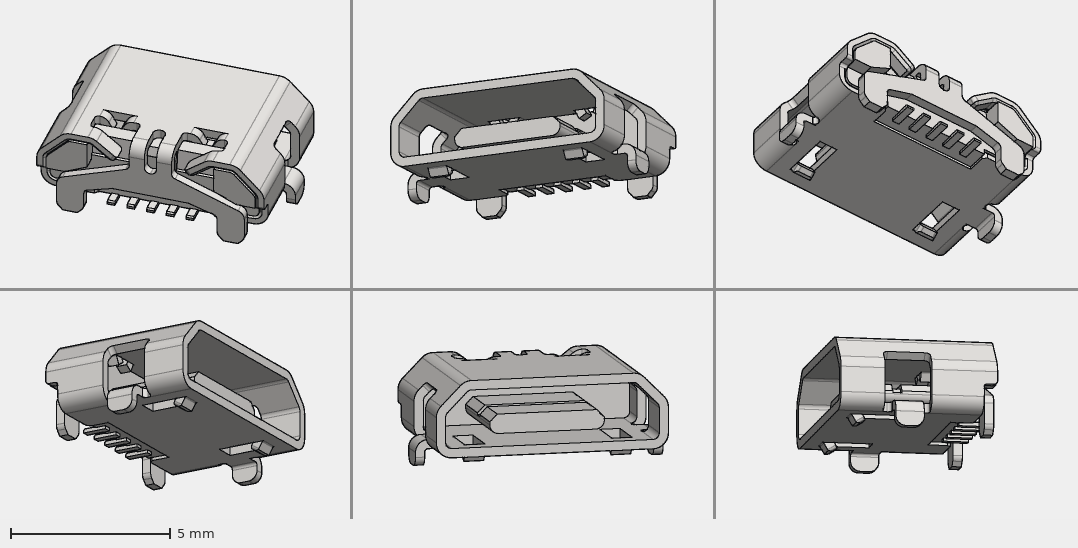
import cadquery as cq
import math


LENGTH = 5.0
TOP = 3.0
SHEET = 0.3
HALF_WIDTH = 3.75
SHELL_BOTTOM = 0.56
SHELL_CHAMFER = 0.925
SHELL_RADIUS = 0.5
FLARE = 0.1
INNER_TOP = TOP - SHEET
INNER_BOTTOM = SHELL_BOTTOM + SHEET
REAR_GAP = 0.43
NOTCH_TOP = 1.47
NOTCH_RADIUS = 0.1
BOTTOM_OPENING = 1.87
BOTTOM_CHAMFER = 0.12

EAR_Y = 2.84
WINDOW_LENGTH = 1.5
WINDOW_EDGE = 3.36
WINDOW_RADIUS = 0.15
EAR_WIDTH = 0.9
EAR_REACH = 4.0
EAR_BEND = 0.4
RELIEF_END = 3.25
EAR_TIP_RADIUS = 0.3

STRAP_HALF = 0.7
STRAP_BEND = 0.45
SLOT_HALF = 0.2
SLOT_BOTTOM = 2.05
SLOT_END_Y = 1.07
LEG_OUTER = 3.1
LEG_INNER = 2.2
LEG_TIP_RUN = 0.21
LEG_TIP_RISE = 0.22
LEG_TIP_RADIUS = 0.25
LEG_SHOULDER_Z = 1.2
LEG_SHOULDER_RADIUS = 0.31
LEG_CROTCH_Z = 0.91
LEG_CROTCH_RADIUS = 0.18
PLATE_NECK_Z = 2.08
PLATE_NECK_RADIUS = 0.18
ARCH_HALF = 1.25
ARCH_Z = 1.2
ROUND_MARGIN = 0.002

FLAP_ROOT = 2.06
FLAP_TIP = 1.1
FLAP_ANGLE = math.radians(37)
FLAP_BEND = 0.48
FLAP_LENGTH_Y = 0.58
FLAP_TIP_RADIUS = 0.13
RECESS_OUTER = 2.19
RECESS_END_Y = 1.19
RECESS_RADIUS = 0.13
FINGER_HOLE_INNER = 0.94
FINGER_HOLE_END_Y = 1.55
FINGER_BEND = 0.35
FINGER_ANGLE = math.radians(60)
FINGER_STRAIGHT = 0.3

SPRING_INNER = 2.05
SPRING_OUTER = 2.7
SPRING_HOLE_Y = 2.9
SPRING_ROOT_Y = 4.5
SPRING_BEND = 0.35
SPRING_ANGLE = math.radians(59)
SPRING_STRAIGHT = 0.34
SPRING_TIP_Z = 0.3
SPRING_TIP_RADIUS = 0.1

WALL_END_Y = 1.16
HOUSING_BOTTOM = 0.66
BLOCK_FRONT_Y = 0.0
BLOCK_INNER = 2.09
BLOCK_KNEE = 2.83
BLOCK_INNER_Z = 1.84
BLOCK_OUTER_Z = 1.5
SIDE_SLOPE = (0.64, 0.545, 2.03)
CENTRE_SLOPE = (0.545, 0.44, 2.4)
TONGUE_HALF = 1.85
TONGUE_BOTTOM = 1.14
TONGUE_TOP = 1.76
TONGUE_END_Y = 4.3
TONGUE_CHAMFER = 0.24
TONGUE_RADIUS = 0.28
CHANNEL_WIDTH = 0.3
CHANNEL_FLOOR = 1.63
SIDE_NOTCH_FLOOR = 1.46
SIDE_NOTCH_DEPTH = 0.3

TAIL_COUNT = 5
TAIL_PITCH = 0.65
TAIL_WIDTH = 0.25
TAIL_HEIGHT = 0.13
TAIL_LENGTH = 0.8
TAIL_CHAMFER = 0.05

OVERCUT = 1.0


def section(y_start):
    """Workplane with local axes X and Z, placed at the given Y."""
    return cq.Workplane("XZ", origin=(0, y_start, 0))


def prism(points, y_start, y_end):
    """Closed XZ outline extruded along Y."""
    return section(y_start).polyline(points).close().extrude(y_start - y_end)


def block(x_range, y_range, z_range):
    """Axis-aligned box given by its ranges."""
    ranges = (x_range, y_range, z_range)
    size = [high - low for low, high in ranges]
    return cq.Workplane("XY").box(*size, centered=False).translate([low for low, high in ranges])


def both_sides(solid):
    """The solid together with its mirror image across the centre plane."""
    return solid.union(solid.mirror("YZ"))


def mirrored_outline(right_half):
    """Closed outline from its right half, listed from top to bottom."""
    return right_half + [(-x, z) for x, z in reversed(right_half)]


def shell_outline(inset):
    """Shell cross-section points moved inwards by the inset."""
    side = HALF_WIDTH - inset
    top = TOP - inset
    shoulder = SHELL_CHAMFER - inset * (2 - math.sqrt(2))
    return mirrored_outline([(side - shoulder, top), (side, top - shoulder), (side, SHELL_BOTTOM + inset)])


def shell_core(inset, y_start, y_end):
    """Solid shell-shaped bar with rounded corners."""
    return prism(shell_outline(inset), y_start, y_end).edges("|Y").fillet(SHELL_RADIUS - inset)


def flare(y_start):
    """Tapered cutter that chamfers the inside edge of the shell at the given Y."""
    outer_rim = shell_core(SHEET - FLARE, y_start, LENGTH).faces("<Y").wires().vals()[0]
    inner_rim = shell_core(SHEET, y_start + FLARE, LENGTH).faces("<Y").wires().vals()[0]
    return cq.Workplane(obj=cq.Solid.makeLoft([outer_rim, inner_rim], True))


def make_tube():
    """Bent tube with a chamfered inner rear edge."""
    void = shell_core(SHEET, 0, LENGTH)
    return shell_core(0, 0, LENGTH).cut(void).cut(flare(0))


def window_cutter():
    """Side window; its upper edge is cut square to the sloping shoulder."""
    edge_z = TOP - (WINDOW_EDGE - (HALF_WIDTH - SHELL_CHAMFER))
    inside = WINDOW_EDGE - SHEET
    outside = WINDOW_EDGE + SHEET
    far = HALF_WIDTH + OVERCUT
    points = [
        (inside, edge_z - SHEET),
        (outside, edge_z + SHEET),
        (far, edge_z + SHEET),
        (far, 0),
        (WINDOW_EDGE, 0),
        (WINDOW_EDGE, INNER_BOTTOM),
        (inside, INNER_BOTTOM),
    ]
    half = WINDOW_LENGTH / 2
    cutter = prism(points, EAR_Y - half, EAR_Y + half)
    return cutter.edges("|(1,0,1)").fillet(WINDOW_RADIUS)


def leg_notch():
    """Clearance at the lower rear of the shell for the legs, with the new rear edge chamfered inside."""
    arc_mid = NOTCH_RADIUS * math.sqrt(0.5)
    concave_z = NOTCH_TOP - NOTCH_RADIUS
    convex_z = NOTCH_TOP + NOTCH_RADIUS
    far = HALF_WIDTH + OVERCUT
    notch = (
        cq.Workplane("YZ")
        .moveTo(-OVERCUT, -OVERCUT)
        .lineTo(REAR_GAP, -OVERCUT)
        .lineTo(REAR_GAP, concave_z)
        .threePointArc(
            (REAR_GAP - NOTCH_RADIUS + arc_mid, concave_z + arc_mid),
            (REAR_GAP - NOTCH_RADIUS, NOTCH_TOP),
        )
        .lineTo(NOTCH_RADIUS, NOTCH_TOP)
        .threePointArc((NOTCH_RADIUS - arc_mid, convex_z - arc_mid), (0, convex_z))
        .lineTo(-OVERCUT, convex_z)
        .close()
        .extrude(far, both=True)
    )
    below = block((-far, far), (0, LENGTH), (0, concave_z))
    return notch.union(flare(REAR_GAP).intersect(below))


def bottom_opening():
    """Opening in the shell floor around the tails, its rear corners chamfered."""
    points = [
        (0, REAR_GAP),
        (BOTTOM_OPENING + BOTTOM_CHAMFER, REAR_GAP),
        (BOTTOM_OPENING, REAR_GAP + BOTTOM_CHAMFER),
        (BOTTOM_OPENING, WALL_END_Y),
        (0, WALL_END_Y),
    ]
    half = cq.Workplane("XY", origin=(0, 0, SHELL_BOTTOM)).polyline(points).close().extrude(SHEET)
    return both_sides(half)


def roof_openings():
    """Stepped openings beside the straps: flap gap, wide recess and narrow finger hole."""
    flap_gap = block((STRAP_HALF, FLAP_ROOT), (0, RECESS_END_Y - SHEET), (INNER_TOP, TOP))
    recess = block((STRAP_HALF, RECESS_OUTER), (FLAP_LENGTH_Y, RECESS_END_Y), (INNER_TOP, TOP))
    recess = recess.edges("|Z").edges(">X or >Y").fillet(RECESS_RADIUS)
    holes = block((FINGER_HOLE_INNER, FLAP_ROOT), (RECESS_END_Y - SHEET, FINGER_HOLE_END_Y), (INNER_TOP, TOP))
    strap_gap = block((0, STRAP_HALF), (0, STRAP_BEND), (INNER_TOP, TOP))
    return both_sides(flap_gap.union(strap_gap).union(recess).union(holes))


def bent_tongue(plane, root, surface_z, bend, angle, straight):
    """Profile of a sheet tongue that leaves a surface at root and bends down towards lower values."""
    inner = bend - SHEET
    centre_z = surface_z - bend

    def on_arc(radius, turn):
        return (root - radius * math.sin(turn), centre_z + radius * math.cos(turn))

    def tip(radius):
        along, z = on_arc(radius, angle)
        return (along - straight * math.cos(angle), z - straight * math.sin(angle))

    return (
        plane
        .moveTo(root, surface_z)
        .threePointArc(on_arc(bend, angle / 2), on_arc(bend, angle))
        .lineTo(*tip(bend))
        .lineTo(*tip(inner))
        .lineTo(*on_arc(inner, angle))
        .threePointArc(on_arc(inner, angle / 2), on_arc(inner, 0))
        .close()
    )


def make_flaps():
    """Rear flaps folded down into the opening, with rounded tips and a chamfered lower rear edge."""
    straight = (FLAP_ROOT - FLAP_TIP - FLAP_BEND * math.sin(FLAP_ANGLE)) / math.cos(FLAP_ANGLE)
    profile = bent_tongue(section(0), FLAP_ROOT, TOP, FLAP_BEND, FLAP_ANGLE, straight)
    flap = profile.extrude(-FLAP_LENGTH_Y)
    across_sheet = cq.Vector(math.sin(FLAP_ANGLE), 0, -math.cos(FLAP_ANGLE))
    flap = flap.edges(cq.ParallelDirSelector(across_sheet)).edges("<X").fillet(FLAP_TIP_RADIUS)
    inner_bend = FLAP_BEND - SHEET
    lower_edge = cq.NearestToPointSelector((
        FLAP_ROOT - inner_bend * math.sin(FLAP_ANGLE) - straight / 2 * math.cos(FLAP_ANGLE),
        0,
        TOP - FLAP_BEND + inner_bend * math.cos(FLAP_ANGLE) - straight / 2 * math.sin(FLAP_ANGLE),
    ))
    return both_sides(flap.edges(lower_edge).chamfer(FLARE))


def make_fingers():
    """Pairs of spring fingers bent down from both ends of each narrow hole."""
    plane = section(RECESS_END_Y)
    profile = bent_tongue(plane, FLAP_ROOT, TOP, FINGER_BEND, FINGER_ANGLE, FINGER_STRAIGHT)
    outer = profile.extrude(RECESS_END_Y - FINGER_HOLE_END_Y)
    hole_centre = (FINGER_HOLE_INNER + FLAP_ROOT) / 2
    inner = outer.mirror("YZ").translate((2 * hole_centre, 0, 0))
    return both_sides(outer.union(inner))


def round_corner(plate, x, z, radius):
    """Round the mirrored pair of plate corners nearest to (x, z)."""
    for side in (-1, 1):
        corner = cq.NearestToPointSelector((side * x, SHEET / 2, z))
        plate = plate.edges("|Y").edges(corner).fillet(radius)
    return plate


def make_rear_plate():
    """Rear plate that hangs from the roof by a quarter bend and ends in two legs."""
    strap_bottom = TOP - STRAP_BEND
    right_half = [
        (STRAP_HALF, strap_bottom),
        (STRAP_HALF, PLATE_NECK_Z),
        (LEG_OUTER, LEG_SHOULDER_Z),
        (LEG_OUTER, LEG_TIP_RISE),
        (LEG_OUTER - LEG_TIP_RUN, 0),
        (LEG_INNER + LEG_TIP_RUN, 0),
        (LEG_INNER, LEG_TIP_RISE),
        (LEG_INNER, LEG_CROTCH_Z),
        (ARCH_HALF, ARCH_Z),
    ]
    plate = prism(mirrored_outline(right_half), 0, SHEET)
    plate = round_corner(plate, STRAP_HALF, PLATE_NECK_Z, PLATE_NECK_RADIUS)
    plate = round_corner(plate, LEG_OUTER, LEG_SHOULDER_Z, LEG_SHOULDER_RADIUS)
    plate = round_corner(plate, LEG_INNER, LEG_CROTCH_Z, LEG_CROTCH_RADIUS)
    for tip_x in (LEG_OUTER, LEG_INNER):
        plate = round_corner(plate, tip_x, LEG_TIP_RISE, LEG_TIP_RADIUS)
    bend = block((-STRAP_HALF, STRAP_HALF), (0, STRAP_BEND), (strap_bottom, TOP))
    bend = bend.edges("|X and <Y and >Z").fillet(STRAP_BEND - ROUND_MARGIN)
    hollow = block((-STRAP_HALF, STRAP_HALF), (SHEET, STRAP_BEND), (strap_bottom, INNER_TOP))
    hollow = hollow.edges("|X and <Y and >Z").fillet(STRAP_BEND - SHEET - ROUND_MARGIN)
    return plate.union(bend.cut(hollow))


def strap_slot():
    """Slot that parts the two straps, round at its roof end and at its plate end."""
    roof_part = block((-SLOT_HALF, SLOT_HALF), (-OVERCUT, SLOT_END_Y), (INNER_TOP - SHEET, TOP))
    roof_part = roof_part.edges("|Z and >Y").fillet(SLOT_HALF - ROUND_MARGIN)
    plate_part = block((-SLOT_HALF, SLOT_HALF), (-OVERCUT, REAR_GAP), (SLOT_BOTTOM, TOP))
    plate_part = plate_part.edges("|Y and <Z").fillet(SLOT_HALF - ROUND_MARGIN)
    return roof_part.union(plate_part)


def make_ears():
    """Solder ears that run out of the shell floor and bend down to the board."""
    y_range = (EAR_Y - EAR_WIDTH / 2, EAR_Y + EAR_WIDTH / 2)
    ear = block((WINDOW_EDGE - SHEET, EAR_REACH), y_range, (0, INNER_BOTTOM))
    ear = ear.edges("|Y and >X and >Z").fillet(EAR_BEND)
    under = block((0, EAR_REACH - SHEET), y_range, (0, SHELL_BOTTOM))
    under = under.edges("|Y and >X and >Z").fillet(EAR_BEND - SHEET)
    ear = ear.cut(under)
    return both_sides(ear.edges("|X and <Z").fillet(EAR_TIP_RADIUS))


def ear_reliefs():
    """Round-ended slots in the shell floor on both sides of each ear."""
    width = (WINDOW_LENGTH - EAR_WIDTH) / 2
    offset = (EAR_WIDTH + width) / 2
    z_range = (SHELL_BOTTOM, INNER_BOTTOM)
    slots = cq.Workplane("XY")
    for y in (EAR_Y - offset, EAR_Y + offset):
        slot = block((RELIEF_END, HALF_WIDTH), (y - width / 2, y + width / 2), z_range)
        slots = slots.union(slot.edges("|Z and <X").fillet(width / 2 - ROUND_MARGIN))
    return both_sides(slots)


def spring_holes():
    """Holes in the shell floor from which the springs are bent."""
    x_range = (SPRING_INNER, SPRING_OUTER)
    return both_sides(block(x_range, (SPRING_HOLE_Y, SPRING_ROOT_Y), (SHELL_BOTTOM, INNER_BOTTOM)))


def make_springs():
    """Round-cornered springs bent down out of the shell floor, their tips cut off level."""
    plane = cq.Workplane("YZ", origin=(SPRING_INNER, 0, 0))
    profile = bent_tongue(plane, SPRING_ROOT_Y, INNER_BOTTOM, SPRING_BEND, SPRING_ANGLE, SPRING_STRAIGHT)
    spring = profile.extrude(SPRING_OUTER - SPRING_INNER)
    across_sheet = cq.Vector(0, math.sin(SPRING_ANGLE), -math.cos(SPRING_ANGLE))
    spring = spring.edges(cq.ParallelDirSelector(across_sheet)).edges("<Y").fillet(SPRING_TIP_RADIUS)
    below_tip = block((0, HALF_WIDTH), (0, LENGTH), (0, SPRING_TIP_Z))
    return both_sides(spring.cut(below_tip))


def make_shell():
    """Complete sheet-metal shell."""
    shell = make_tube()
    shell = shell.cut(both_sides(window_cutter())).cut(leg_notch())
    shell = shell.cut(roof_openings())
    shell = shell.cut(bottom_opening()).cut(spring_holes())
    shell = shell.union(make_rear_plate()).cut(strap_slot())
    for added in (make_flaps(), make_fingers(), make_ears(), make_springs()):
        shell = shell.union(added)
    return shell.cut(ear_reliefs())


def slope_cutter(slope, half_width):
    """Cutter for a slope, with a ledge at its foot, along the top rear edge of the housing wall."""
    top_y, foot_y, foot_z = slope
    points = [(REAR_GAP, foot_z), (foot_y, foot_z), (top_y, INNER_TOP), (REAR_GAP, INNER_TOP)]
    return cq.Workplane("YZ").polyline(points).close().extrude(half_width, both=True)


def make_wall():
    """Rear wall of the housing, with a sloping top edge and two forward corner blocks."""
    wall = shell_core(SHEET, REAR_GAP, WALL_END_Y)
    foot = block((-BOTTOM_OPENING, BOTTOM_OPENING), (REAR_GAP, WALL_END_Y), (HOUSING_BOTTOM, INNER_BOTTOM))
    side_slope = slope_cutter(SIDE_SLOPE, BLOCK_INNER).cut(slope_cutter(SIDE_SLOPE, STRAP_HALF))
    slopes = side_slope.union(slope_cutter(CENTRE_SLOPE, STRAP_HALF))
    corner = [
        (BLOCK_INNER, TOP),
        (BLOCK_INNER, BLOCK_INNER_Z),
        (BLOCK_KNEE, BLOCK_OUTER_Z),
        (HALF_WIDTH, BLOCK_OUTER_Z),
        (HALF_WIDTH, TOP),
    ]
    corner_block = prism(corner, BLOCK_FRONT_Y, WALL_END_Y)
    corner_block = corner_block.intersect(shell_core(SHEET, BLOCK_FRONT_Y, WALL_END_Y))
    return wall.union(foot).cut(slopes).union(both_sides(corner_block))


def make_tongue():
    """Contact tongue with a cross channel and side notches."""
    tongue = block((-TONGUE_HALF, TONGUE_HALF), (WALL_END_Y, TONGUE_END_Y), (TONGUE_BOTTOM, TONGUE_TOP))
    tongue = tongue.edges("|Y and >Z").chamfer(TONGUE_CHAMFER)
    tongue = tongue.edges("|Y and <Z").fillet(TONGUE_RADIUS)
    y_range = (EAR_Y - CHANNEL_WIDTH / 2, EAR_Y + CHANNEL_WIDTH / 2)
    channel = block((-TONGUE_HALF, TONGUE_HALF), y_range, (CHANNEL_FLOOR, TONGUE_TOP))
    notch = block((TONGUE_HALF - SIDE_NOTCH_DEPTH, TONGUE_HALF), y_range, (SIDE_NOTCH_FLOOR, TONGUE_TOP))
    return tongue.cut(channel).cut(both_sides(notch))


def make_tails():
    """Row of solder tails leaving the foot of the housing."""
    tails = cq.Workplane("XY")
    for index in range(TAIL_COUNT):
        x = (index - (TAIL_COUNT - 1) / 2) * TAIL_PITCH
        x_range = (x - TAIL_WIDTH / 2, x + TAIL_WIDTH / 2)
        tail = block(x_range, (0, TAIL_LENGTH), (SHELL_BOTTOM, SHELL_BOTTOM + TAIL_HEIGHT))
        tails = tails.union(tail.edges("|X and <Y and >Z").chamfer(TAIL_CHAMFER))
    return tails


result = make_shell().union(make_wall()).union(make_tongue()).union(make_tails())